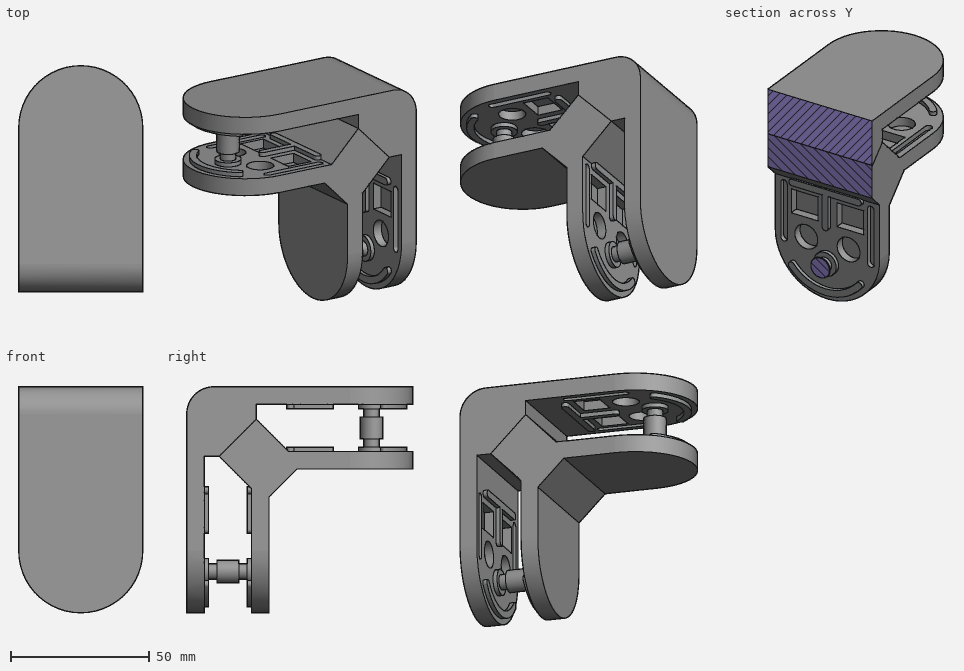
import cadquery as cq
import math

LENGTH = 82.0
WIDTH = 45.0
PLATE = 6.5
GAP = 17.0
CORNER_RADIUS = 10.0
END_RADIUS = WIDTH / 2

BLOCK_LENGTH = 25.3
BLOCK_DEPTH = 11.8
INNER_CHAMFER = 10.0

RIDGE_HEIGHT = 1.55
RIDGE_WIDTH = 2.7
BOSS_DIAMETER = 9.6
ARC_RADIUS = 18.95
ARC_HALF_ANGLE = 50.0
CROSS_RIDGE_LENGTH = 31.2
CROSS_RIDGE_Y = -3.45
SPINE_END_Y = 12.2

RECESS_DEPTH = 3.45
HOLE_DIAMETER = 9.85
HOLE_X = 9.1
HOLE_Y = 18.05
POCKET_WIDTH = 11.5
POCKET_LENGTH = 9.85
POCKET_X = 9.85
POCKET_Y = 5.2
SLOT_WIDTH = 2.8
SLOT_LENGTH = 25.1
SLOT_DEPTH = 2.0
SLOT_X = 18.7
SLOT_Y = 10.0

PIN_FROM_END = 15.0
POST_DIAMETER = 5.65
SLEEVE_DIAMETER = 8.2
SLEEVE_LENGTH = 7.95

OUTER = LENGTH / 2
OUTER_INNER_FACE = OUTER - PLATE
INNER_FACE = OUTER_INNER_FACE - GAP
INNER_BACK = INNER_FACE - PLATE
GAP_MIDDLE = (OUTER_INNER_FACE + INNER_FACE) / 2
END_CENTRE = OUTER - END_RADIUS
PIN_Y = OUTER - PIN_FROM_END
POST_LENGTH = (GAP - 2 * RIDGE_HEIGHT - SLEEVE_LENGTH) / 2


def to_other_leg(shape):
    """Mirror a shape of the horizontal leg onto the vertical leg, swapping Y with -Z."""
    return shape.rotate((0, 0, 0), (1, 0, 0), 90).mirror("XY")


def extrude_profile(points):
    """Extrude a (Y, Z) outline across the full width."""
    return cq.Workplane("YZ").polyline(points).close().extrude(END_RADIUS, both=True)


def across(points):
    """Reflect (Y, Z) points over the diagonal that separates the two legs, in reverse order."""
    return [(-z, -y) for y, z in reversed(points)]


def round_leg_ends(body):
    """Trim the free end of both legs to a half circle."""
    reach = 2 * LENGTH
    leg = (
        cq.Workplane("XY")
        .circle(END_RADIUS)
        .extrude(reach, both=True)
        .union(cq.Workplane("XY").box(WIDTH, reach, 2 * reach).translate((0, -reach / 2, 0)))
        .translate((0, END_CENTRE, 0))
    )
    return body.intersect(leg).intersect(to_other_leg(leg))


def ridges():
    """Raised pattern on a plate, standing up from Z = 0."""
    boss = cq.Workplane("XY").center(0, PIN_Y).circle(BOSS_DIAMETER / 2).extrude(RIDGE_HEIGHT)
    cross_ridge = (
        cq.Workplane("XY")
        .center(0, CROSS_RIDGE_Y)
        .slot2D(CROSS_RIDGE_LENGTH, RIDGE_WIDTH)
        .extrude(RIDGE_HEIGHT)
    )
    spine_start = CROSS_RIDGE_Y - RIDGE_WIDTH / 2
    spine = (
        cq.Workplane("XY")
        .center(0, (spine_start + SPINE_END_Y) / 2)
        .slot2D(SPINE_END_Y - spine_start, RIDGE_WIDTH, 90)
        .extrude(RIDGE_HEIGHT)
    )
    return boss.union(cross_ridge).union(spine).union(arc_ridge())


def arc_ridge():
    """Curved ridge with round ends, concentric with the end of the leg."""
    half_angle = math.radians(ARC_HALF_ANGLE)

    def on_arc(radius, angle):
        return (radius * math.sin(angle), END_CENTRE + radius * math.cos(angle))

    outer = ARC_RADIUS + RIDGE_WIDTH / 2
    inner = ARC_RADIUS - RIDGE_WIDTH / 2
    tip_angle = half_angle + RIDGE_WIDTH / 2 / ARC_RADIUS
    return (
        cq.Workplane("XY")
        .moveTo(*on_arc(outer, -half_angle))
        .threePointArc(on_arc(outer, 0), on_arc(outer, half_angle))
        .threePointArc(on_arc(ARC_RADIUS, tip_angle), on_arc(inner, half_angle))
        .threePointArc(on_arc(inner, 0), on_arc(inner, -half_angle))
        .threePointArc(on_arc(ARC_RADIUS, -tip_angle), on_arc(outer, -half_angle))
        .close()
        .extrude(RIDGE_HEIGHT)
    )


def recesses():
    """Holes, pockets and slots on both sides of a plate, sunk below Z = 0."""
    sides = (-1, 1)
    holes = (
        cq.Workplane("XY")
        .pushPoints([(side * HOLE_X, HOLE_Y) for side in sides])
        .circle(HOLE_DIAMETER / 2)
        .extrude(-RECESS_DEPTH)
    )
    pockets = (
        cq.Workplane("XY")
        .pushPoints([(side * POCKET_X, POCKET_Y) for side in sides])
        .rect(POCKET_WIDTH, POCKET_LENGTH)
        .extrude(-RECESS_DEPTH)
    )
    slots = (
        cq.Workplane("XY")
        .pushPoints([(side * SLOT_X, SLOT_Y) for side in sides])
        .slot2D(SLOT_LENGTH, SLOT_WIDTH, 90)
        .extrude(-SLOT_DEPTH)
    )
    return holes.union(pockets).union(slots)


def add_face_details(body, place):
    """Cut the recesses and add the ridges on the facing side of both legs."""
    cutter = place(recesses())
    raised = place(ridges())
    body = body.cut(cutter).cut(to_other_leg(cutter))
    return body.union(raised).union(to_other_leg(raised))


def on_inner_plate(shape):
    return shape.translate((0, 0, INNER_FACE))


def on_outer_plate(shape):
    return shape.mirror("XY").translate((0, 0, OUTER_INNER_FACE))


def make_outer_bracket():
    """L-shaped bracket with the solid corner block."""
    half = [
        (OUTER, OUTER),
        (OUTER, OUTER_INNER_FACE),
        (BLOCK_LENGTH - OUTER, OUTER_INNER_FACE),
        (BLOCK_LENGTH - OUTER, OUTER - BLOCK_DEPTH),
    ]
    bracket = extrude_profile(half + across(half) + [(-OUTER, OUTER)])
    bracket = bracket.edges("|X").edges("<Y and >Z").fillet(CORNER_RADIUS)
    return add_face_details(round_leg_ends(bracket), on_outer_plate)


def make_inner_bracket():
    """L-shaped bracket whose diamond corner seats against the outer bracket."""
    joint_y = BLOCK_LENGTH - OUTER
    joint_z = OUTER - BLOCK_DEPTH
    half = [
        (INNER_CHAMFER - INNER_BACK, INNER_BACK),
        (OUTER, INNER_BACK),
        (OUTER, INNER_FACE),
        (joint_y + joint_z - INNER_FACE, INNER_FACE),
        (joint_y, joint_z),
    ]
    bracket = extrude_profile(half + across(half))
    return add_face_details(round_leg_ends(bracket), on_inner_plate)


def make_cylinder(diameter, length, middle):
    """Upright cylinder on the pin axis of the horizontal leg, centred at the given height."""
    return cq.Workplane("XY").cylinder(length, diameter / 2).translate((0, PIN_Y, middle))


def make_post(side):
    """Post between the sleeve and the boss above (side 1) or below (side -1)."""
    offset = (SLEEVE_LENGTH + POST_LENGTH) / 2
    return make_cylinder(POST_DIAMETER, POST_LENGTH, GAP_MIDDLE + side * offset)


def make_sleeve():
    return make_cylinder(SLEEVE_DIAMETER, SLEEVE_LENGTH, GAP_MIDDLE)


outer_bracket = make_outer_bracket()
inner_bracket = make_inner_bracket()

posts = []
for side in (-1, 1):
    posts.append(make_post(side))
    posts.append(to_other_leg(make_post(side)))

sleeves = [make_sleeve(), to_other_leg(make_sleeve())]

result = cq.Compound.makeCompound(
    [outer_bracket.val(), inner_bracket.val()]
    + [post.val() for post in posts]
    + [sleeve.val() for sleeve in sleeves]
)